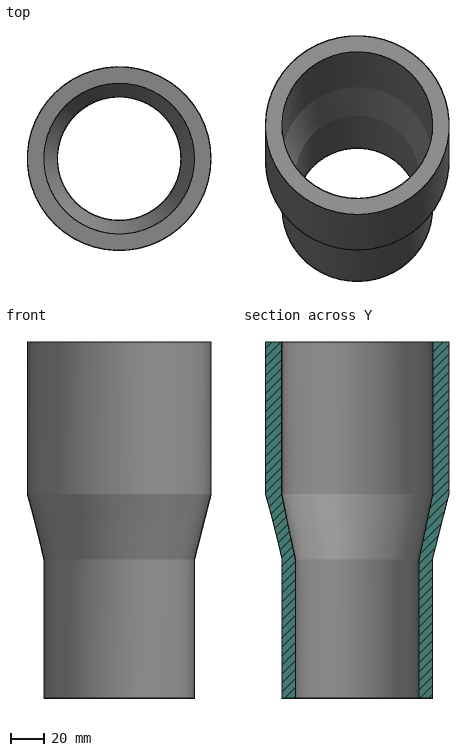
import cadquery as cq

total_height = 213.0
socket_diameter = 110.0
socket_bore = 90.0
spigot_diameter = 90.0
spigot_bore = 73.7
spigot_height = 82.9
taper_height = 39.0

socket_radius = socket_diameter / 2
socket_bore_radius = socket_bore / 2
spigot_radius = spigot_diameter / 2
spigot_bore_radius = spigot_bore / 2
taper_top = spigot_height + taper_height

half_section = (
    cq.Workplane("XZ")
    .moveTo(spigot_bore_radius, 0)
    .lineTo(spigot_radius, 0)
    .lineTo(spigot_radius, spigot_height)
    .lineTo(socket_radius, taper_top)
    .lineTo(socket_radius, total_height)
    .lineTo(socket_bore_radius, total_height)
    .lineTo(socket_bore_radius, taper_top)
    .lineTo(spigot_bore_radius, spigot_height)
    .close()
)

result = half_section.revolve(360, (0, 0, 0), (0, 1, 0))